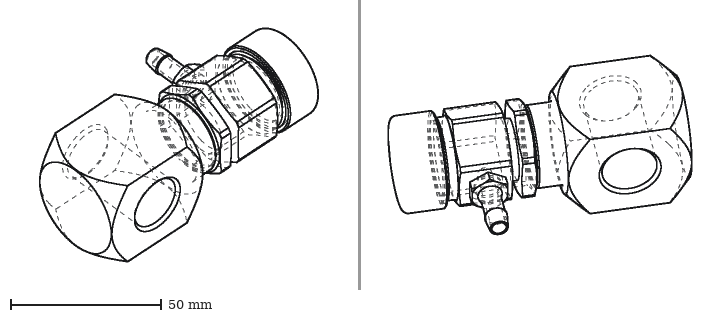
import cadquery as cq
import math


total_length = 98.1
total_width = 53.0

block_width = 35.0
block_length = 42.0
block_face_radius = 17.4
hole_radius = 9.3
hole_chamfer = 1.2

collar_radius = 14.0
collar_root_fillet = 0.9
collar_end = 51.0
collar_back_chamfer = 0.4
collar_back_length = 0.6
groove_radius = 12.8

hex_across_flats = 30.0
hex_corner_radius = 16.8
hex_face_radius = 14.8
nut_front_chamfer_angle = 20
outer_chamfer_angle = 15
inner_chamfer_angle = 10
nut_front = 52.1
nut_back = 57.3
body_front = 60.3
body_back = 78.8

stem_radius = 10.5
stem_root_fillet = 0.5
rear_collar_end = 81.7
rear_collar_chamfer = 0.4
rear_collar_root_fillet = 0.4
cap_neck_radius = 12.1

cap_radius = 16.5
cap_front = 82.6
cap_chamfer = 0.5
cap_recess_radius = 14.7
cap_recess_depth = 1.0
cap_edge_radius = 2.0
cap_shoulder = 95.0
cap_edge_sweep = 80

barb_y = 69.0
barb_tip = total_width - block_width / 2
barb_tip_radius = 3.0
barb_tip_round = 0.8
barb_entry_radius = 3.2
barb_crest_radius = 3.8
barb_crest_start = 30.3
barb_crest_end = 29.8
barb_shaft_radius = 3.4
barb_shaft_start = 29.4
barb_shaft_end = 22.0
barb_root_radius = 4.1
barb_hex_across_flats = 12.2
barb_hex_chamfer_radius = 6.3
barb_hex_chamfer = 0.4
barb_hex_outer = 19.6
barb_hex_inner = 15.9
barb_seat_radius = 4.7
bore_radius = 2.5
core_radius = 9.3


def turned(points):
    """Revolve a (radius, y) outline about the Y axis."""
    return cq.Workplane("XY").polyline(points).close().revolve(360, (0, 0, 0), (0, 1, 0))


def hex_corner(across_flats):
    """Distance from the centre of a hexagon to its corners."""
    return across_flats / math.sqrt(3)


def hexagon(plane, across_flats, length):
    """Hexagonal prism with two corners on the local Y axis of its plane."""
    corner_circle = 2 * hex_corner(across_flats)
    return cq.Workplane(plane).transformed(rotate=(0, 0, 90)).polygon(6, corner_circle).extrude(length)


def chamfered_hexagon(front, back, front_angle, back_angle, front_radius, back_radius):
    """Hexagon along Y, its corners turned down and both ends coned."""
    front_drop = (hex_corner_radius - front_radius) * math.tan(math.radians(front_angle))
    back_drop = (hex_corner_radius - back_radius) * math.tan(math.radians(back_angle))
    envelope = turned([
        (0, front),
        (front_radius, front),
        (hex_corner_radius, front + front_drop),
        (hex_corner_radius, back - back_drop),
        (back_radius, back),
        (0, back),
    ])
    prism = hexagon("XZ", hex_across_flats, front - back).translate((0, front, 0))
    return prism.intersect(envelope)


def make_block():
    """Square block, corners coned at both ends, with a chamfered hole through it along X."""
    half = block_width / 2
    corner_reach = half * math.sqrt(2)
    cone_length = corner_reach - block_face_radius
    block = cq.Workplane("XY").box(block_width, block_length, block_width, centered=(True, False, True))
    envelope = turned([
        (0, 0),
        (block_face_radius, 0),
        (corner_reach, cone_length),
        (corner_reach, block_length - cone_length),
        (block_face_radius, block_length),
        (0, block_length),
    ])
    hole = (
        cq.Workplane("YZ", origin=(-half, block_length / 2, 0))
        .circle(hole_radius)
        .extrude(block_width)
    )
    mouth = (
        cq.Workplane("YZ", origin=(-half, block_length / 2, 0))
        .circle(hole_radius + hole_chamfer)
        .workplane(offset=hole_chamfer)
        .circle(hole_radius)
        .loft(ruled=True)
    )
    return block.intersect(envelope).cut(hole).cut(mouth).cut(mouth.mirror("YZ"))


def make_spindle():
    """Turned collars and necks that join the block, nut, body and cap."""
    return turned([
        (0, block_length),
        (collar_radius, block_length),
        (collar_radius, collar_end),
        (collar_radius - collar_back_chamfer, collar_end + collar_back_length),
        (groove_radius, collar_end + collar_back_length),
        (groove_radius, nut_front),
        (stem_radius, nut_front),
        (stem_radius, body_front),
        (collar_radius, body_front),
        (collar_radius, rear_collar_end),
        (cap_neck_radius, rear_collar_end + rear_collar_chamfer),
        (cap_neck_radius, cap_front + cap_recess_depth),
        (0, cap_front + cap_recess_depth),
    ])


def root_fillet(radius, face_y, size, direction):
    """Concave ring where a neck meets an end face that looks along direction (+1 or -1 in Y)."""
    neck_y = face_y + direction * size
    buried_y = face_y - direction * size
    inset = size * (1 - math.sqrt(0.5))
    return (
        cq.Workplane("XY")
        .moveTo(radius, neck_y)
        .threePointArc((radius + inset, face_y + direction * inset), (radius + size, face_y))
        .lineTo(radius + size, buried_y)
        .lineTo(radius, buried_y)
        .close()
        .revolve(360, (0, 0, 0), (0, 1, 0))
    )


def edge_point(angle):
    """Point (radius, y) on the rounded rim of the cap, angle measured from the cap's side."""
    return (
        cap_radius - cap_edge_radius * (1 - math.cos(angle)),
        cap_shoulder + cap_edge_radius * math.sin(angle),
    )


def make_cap():
    """Cap recessed around its neck, with a rounded rim that runs into a shallow spherical dome."""
    edge_angle = math.radians(cap_edge_sweep)
    fillet_middle = edge_point(edge_angle / 2)
    dome_edge = edge_point(edge_angle)
    dome_edge_radius = dome_edge[0]
    dome_height = total_length - dome_edge[1]
    dome_radius = (dome_edge_radius**2 / dome_height + dome_height) / 2
    dome_middle = dome_edge_radius / 2
    dome_middle_y = total_length - dome_radius + math.sqrt(dome_radius**2 - dome_middle**2)
    return (
        cq.Workplane("XY")
        .moveTo(0, cap_front + cap_recess_depth)
        .lineTo(cap_recess_radius, cap_front + cap_recess_depth)
        .lineTo(cap_recess_radius, cap_front)
        .lineTo(cap_radius - cap_chamfer, cap_front)
        .lineTo(cap_radius, cap_front + cap_chamfer)
        .lineTo(cap_radius, cap_shoulder)
        .threePointArc(fillet_middle, dome_edge)
        .threePointArc((dome_middle, dome_middle_y), (0, total_length))
        .close()
        .revolve(360, (0, 0, 0), (0, 1, 0))
    )


def turned_barb(points):
    """Revolve a (distance from main axis, radius) outline about the -X axis."""
    outline = [(-distance, radius) for distance, radius in points]
    return (
        cq.Workplane("XY")
        .polyline(outline)
        .close()
        .revolve(360, (0, 0, 0), (1, 0, 0))
        .translate((0, barb_y, 0))
    )


def make_barb():
    """Barbed stem with its hexagon and round seat."""
    stem = turned_barb([
        (0, 0),
        (barb_tip, 0),
        (barb_tip, barb_tip_radius),
        (barb_tip - barb_tip_round, barb_entry_radius),
        (barb_crest_start, barb_crest_radius),
        (barb_crest_end, barb_crest_radius),
        (barb_shaft_start, barb_shaft_radius),
        (barb_shaft_end, barb_shaft_radius),
        (barb_hex_outer, barb_root_radius),
        (barb_hex_inner, barb_root_radius),
        (barb_hex_inner, barb_seat_radius),
        (0, barb_seat_radius),
    ])
    corner = hex_corner(barb_hex_across_flats)
    envelope = turned_barb([
        (barb_hex_inner, 0),
        (barb_hex_inner, corner),
        (barb_hex_outer - barb_hex_chamfer, corner),
        (barb_hex_outer, barb_hex_chamfer_radius),
        (barb_hex_outer, 0),
    ])
    prism = hexagon("YZ", barb_hex_across_flats, barb_hex_outer - barb_hex_inner)
    nut = prism.translate((-barb_hex_outer, barb_y, 0)).intersect(envelope)
    return stem.union(nut)


def make_bore():
    """Barb bore, ending on a round core that follows the main axis."""
    bore = cq.Workplane("YZ", origin=(-barb_tip, barb_y, 0)).circle(bore_radius).extrude(barb_tip)
    core = cq.Workplane("XZ").circle(core_radius).extrude(-total_length)
    return bore.cut(core)


nut = chamfered_hexagon(
    nut_front, nut_back, nut_front_chamfer_angle, inner_chamfer_angle, hex_face_radius, hex_face_radius
)
body = chamfered_hexagon(
    body_front, body_back, inner_chamfer_angle, outer_chamfer_angle, hex_face_radius, collar_radius
)
root_fillets = [
    root_fillet(collar_radius, block_length, collar_root_fillet, 1),
    root_fillet(stem_radius, body_front, stem_root_fillet, -1),
    root_fillet(collar_radius, body_back, rear_collar_root_fillet, 1),
]

result = make_block()
for piece in (make_spindle(), nut, body, make_cap(), make_barb(), *root_fillets):
    result = result.union(piece)
result = result.cut(make_bore())